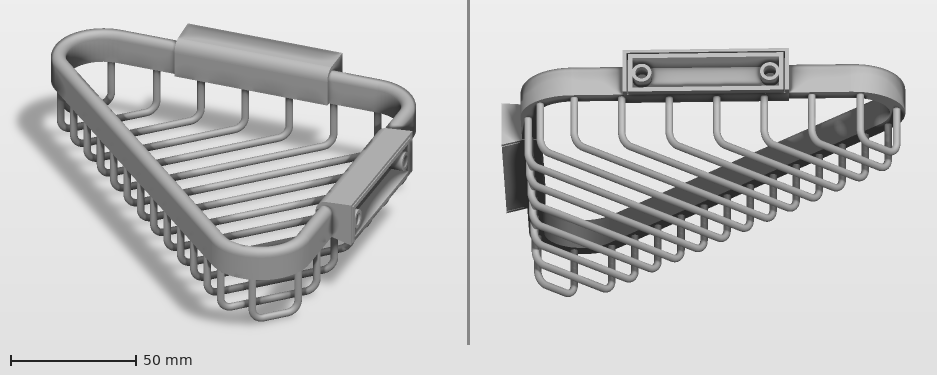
import cadquery as cq
import math

rim_length = 200.0
corner_radius = 21.0
side_angle = 45
bar_width = 6.0
bar_round = bar_width / 2
bar_top = 34.5
bar_bottom = 21.4
bend_radius = corner_radius - bar_round
side_center_x = rim_length / 2 - corner_radius
side_center_y = corner_radius
apex_center_y = side_center_y + side_center_x
slope_offset = bend_radius * math.sqrt(2)

wire_diameter = 3.0
wire_radius = wire_diameter / 2
wire_bend = 4.8
wires_each_side = 7
outer_wire_span = 188.0
wire_pitch = outer_wire_span / (2 * wires_each_side)
wire_embed = 2.0

bracket_length = 66.4
bracket_shift = 2.0
bracket_back = 11.2
bracket_front = -4.2
bracket_top = 37.2
bracket_back_bottom = 19.0
bracket_front_bottom = 21.0
top_drop = 0.8
end_taper = 0.4
nose_radius = 4.8
nose_edge = -0.2
end_wall = 1.5
top_wall = 1.2

plate_gap = 0.5
plate_thickness = 7.2
plate_length = bracket_length - 2 * (end_wall + plate_gap)
plate_top = bracket_top - top_wall - plate_gap
plate_rim = 1.8
channel_depth = 6.0
channel_slope = 1.8
boss_diameter = 7.8
boss_inset = 5.4
screw_hole_diameter = 5.0


def around(center, degrees):
    """Point on the rim centreline bend about a corner centre."""
    angle = math.radians(degrees)
    return (center[0] + bend_radius * math.cos(angle), center[1] + bend_radius * math.sin(angle))


def make_rim():
    """Bar with a rounded top, swept around the triangle."""
    left = (-side_center_x, side_center_y)
    right = (side_center_x, side_center_y)
    apex = (0, apex_center_y)
    corners = [
        (right, -90, 90 - side_angle),
        (apex, 90 - side_angle, 90 + side_angle),
        (left, 90 + side_angle, 270),
    ]
    path = cq.Workplane("XY").moveTo(0, bar_round)
    for center, start, end in corners:
        path = path.lineTo(*around(center, start))
        path = path.threePointArc(around(center, (start + end) / 2), around(center, end))
    path = path.close()
    section = (
        cq.Workplane("YZ")
        .moveTo(0, bar_bottom)
        .lineTo(bar_width, bar_bottom)
        .lineTo(bar_width, bar_top - bar_round)
        .threePointArc((bar_round, bar_top), (0, bar_top - bar_round))
        .close()
    )
    return section.sweep(path)


def corner_rise(offset):
    """Distance along Y from a corner centre to the bend, at a distance along X."""
    return math.sqrt(bend_radius**2 - offset**2)


def front_leg_y(x):
    """Rim centreline on the long side."""
    if abs(x) <= side_center_x:
        return bar_round
    return side_center_y - corner_rise(abs(x) - side_center_x)


def back_leg_y(x):
    """Rim centreline on the two short sides."""
    tangent = bend_radius / math.sqrt(2)
    if abs(x) <= tangent:
        return apex_center_y + corner_rise(x)
    if abs(x) <= side_center_x + tangent:
        return apex_center_y - abs(x) + slope_offset
    return side_center_y + corner_rise(abs(x) - side_center_x)


def make_wire(x):
    """One U-shaped wire in the plane at x."""
    front = front_leg_y(x)
    back = back_leg_y(x)
    end = bar_bottom + wire_embed
    low = wire_radius
    bend_top = low + wire_bend
    inset = wire_bend * (1 - math.sqrt(0.5))
    path = (
        cq.Workplane("YZ", origin=(x, 0, 0))
        .moveTo(front, end)
        .lineTo(front, bend_top)
        .threePointArc((front + inset, low + inset), (front + wire_bend, low))
        .lineTo(back - wire_bend, low)
        .threePointArc((back - inset, low + inset), (back, bend_top))
        .lineTo(back, end)
    )
    return cq.Workplane("XY", origin=(x, front, end)).circle(wire_radius).sweep(path)


def make_basket():
    """Rim and its wires in one piece."""
    basket = make_rim()
    for index in range(-wires_each_side, wires_each_side + 1):
        basket = basket.union(make_wire(index * wire_pitch))
    return basket


def place_on_left_side(local_body):
    """Moves a body from the local bracket axes to the left short side."""
    along = bracket_shift / math.sqrt(2)
    middle_x = -slope_offset / 2 - side_center_x / 2
    middle_y = slope_offset / 2 + (side_center_y + apex_center_y) / 2
    turned = local_body.rotate((0, 0, 0), (0, 0, 1), side_angle)
    return turned.translate((middle_x + along, middle_y + along, 0))


def make_bracket_block():
    """Tapered block with a rounded nose and an underside that rises from the wall to the bar."""
    nose_center_y = bracket_front + nose_radius
    nose_top = bracket_top - top_drop
    nose_center_z = nose_top - math.sqrt(nose_radius**2 - (nose_center_y - nose_edge) ** 2)
    profile = (
        cq.Workplane("YZ")
        .moveTo(bracket_back, bracket_back_bottom)
        .lineTo(bracket_back, bracket_top)
        .lineTo(nose_edge, nose_top)
        .radiusArc((bracket_front, nose_center_z), -nose_radius)
        .lineTo(bracket_front, bracket_front_bottom)
        .lineTo(bar_round, bracket_front_bottom)
        .close()
        .extrude(bracket_length / 2, both=True)
    )
    half_back = bracket_length / 2
    half_front = half_back - end_taper
    plan = (
        cq.Workplane("XY")
        .polyline([
            (-half_back, bracket_back),
            (half_back, bracket_back),
            (half_front, bracket_front),
            (-half_front, bracket_front),
        ])
        .close()
        .extrude(bracket_top)
    )
    return profile.intersect(plan)


def plate_box(length, top):
    """Block at the back of the bracket, from below its underside up to the given level."""
    return (
        cq.Workplane("XY")
        .box(length, plate_thickness, top, centered=(True, False, False))
        .translate((0, bracket_back - plate_thickness, 0))
    )


def make_bracket(basket):
    """Bracket with the plate recess, open below, and a passage matching the bar and its wires."""
    recess = plate_box(bracket_length - 2 * end_wall, bracket_top - top_wall)
    return place_on_left_side(make_bracket_block().cut(recess)).cut(basket)


def make_plate():
    """Wall plate with a channel in its back face and a screw boss at each end of the channel."""
    plate = plate_box(plate_length, plate_top).intersect(make_bracket_block())
    channel_length = plate_length - 2 * plate_rim
    channel_bottom = bracket_back_bottom + plate_rim
    channel_top = plate_top - plate_rim
    floor_y = bracket_back - channel_depth
    channel = (
        cq.Workplane("YZ")
        .polyline([
            (bracket_back, channel_bottom),
            (bracket_back, channel_top),
            (floor_y, channel_top - channel_slope),
            (floor_y, channel_bottom + channel_slope),
        ])
        .close()
        .extrude(channel_length / 2, both=True)
    )
    boss_x = plate_length / 2 - boss_inset
    boss_z = (channel_bottom + channel_top) / 2
    back_plane = cq.Workplane("XZ", origin=(0, bracket_back, boss_z)).pushPoints([(-boss_x, 0), (boss_x, 0)])
    bosses = back_plane.circle(boss_diameter / 2).extrude(channel_depth)
    screw_holes = back_plane.circle(screw_hole_diameter / 2).extrude(plate_thickness)
    return place_on_left_side(plate.cut(channel).union(bosses).cut(screw_holes))


basket = make_basket()
left_bracket = make_bracket(basket)
left_plate = make_plate()
right_bracket = left_bracket.mirror("YZ")
right_plate = left_plate.mirror("YZ")

result = cq.Compound.makeCompound([
    basket.val(),
    left_bracket.val(),
    right_bracket.val(),
    left_plate.val(),
    right_plate.val(),
])